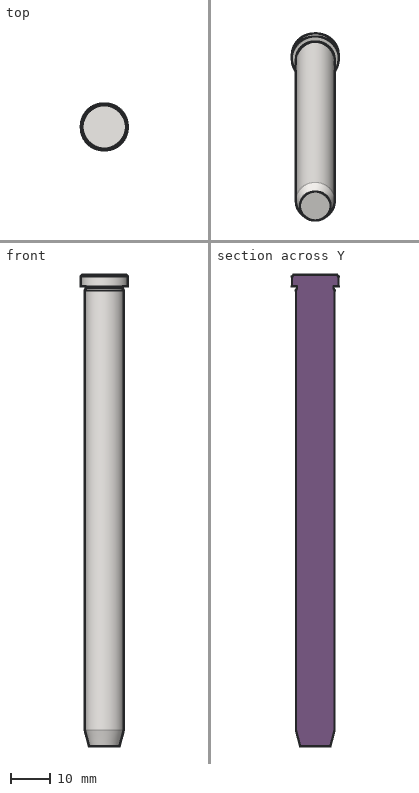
import cadquery as cq

total_length = 120.0
head_diameter = 12.0
head_height = 3.0
head_edge = 0.5
shank_diameter = 10.0

neck_depth = 0.3
neck_height = 0.4
neck_taper_height = 0.7

tip_diameter = 7.8
tip_height = 4.1

head_radius = head_diameter / 2
shank_radius = shank_diameter / 2
neck_radius = shank_radius - neck_depth
tip_radius = tip_diameter / 2
head_bottom = total_length - head_height
neck_bottom = head_bottom - neck_height
shank_top = neck_bottom - neck_taper_height

profile = (
    cq.Workplane("XZ")
    .moveTo(0, 0)
    .lineTo(-tip_radius, 0)
    .lineTo(-shank_radius, tip_height)
    .lineTo(-shank_radius, shank_top)
    .lineTo(-neck_radius, neck_bottom)
    .lineTo(-neck_radius, head_bottom)
    .lineTo(-head_radius, head_bottom)
    .lineTo(-head_radius, total_length)
    .lineTo(0, total_length)
    .close()
)
pin = profile.revolve(360, (0, 0, 0), (0, 1, 0))

result = pin.faces(">Z").edges().chamfer(head_edge)